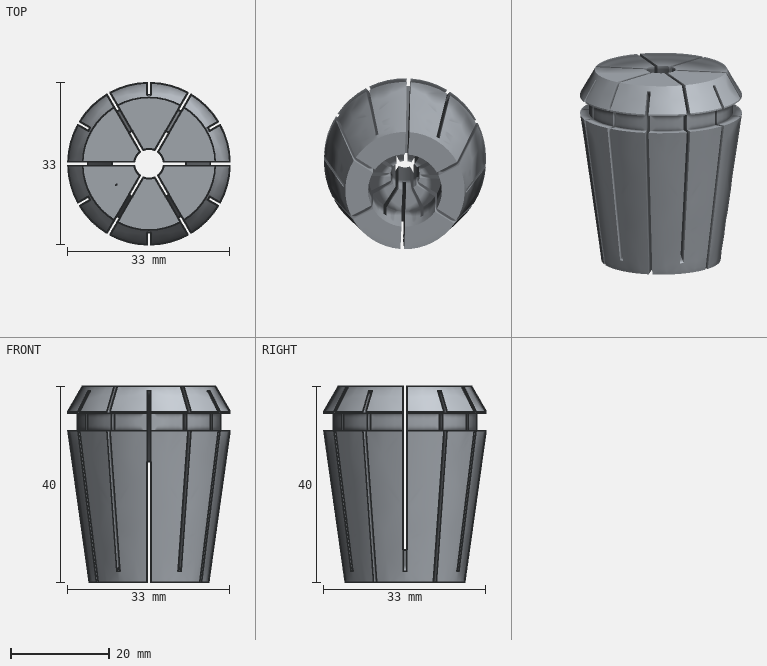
import cadquery as cq
import math

length = 40.0
major_radius = 16.5
body_half_angle = 8.0
nose_half_angle = 30.0

groove_bottom = 30.9
groove_top = 34.5
groove_radius = 14.65
rim_height = 0.3

bore_radius = 3.0
relief_radius = 7.5
relief_depth = 16.0

slots_per_end = 6
slot_width = 0.75
nose_slot_end = 2.3
nose_slot_inner = 6.65
tail_slot_end = 39.0
tail_slot_inner = 24.6
cutter_radius = 31.6

margin = 1.0
wall_overrun = 0.5

rim_top = groove_top + rim_height
tail_radius = major_radius - groove_bottom * math.tan(math.radians(body_half_angle))
nose_radius = major_radius - (length - rim_top) * math.tan(math.radians(nose_half_angle))
slot_pitch = 360.0 / slots_per_end
reach = major_radius + margin


def body_radius_at(height):
    """Outer radius of the tapered body cone at a height."""
    return tail_radius + height * math.tan(math.radians(body_half_angle))


def nose_radius_at(height):
    """Outer radius of the nose cone at a height."""
    return major_radius - (height - rim_top) * math.tan(math.radians(nose_half_angle))


def make_body():
    """Revolve the tapered outline with its groove and stepped bore."""
    outline = [
        (relief_radius, 0),
        (tail_radius, 0),
        (major_radius, groove_bottom),
        (groove_radius, groove_bottom),
        (groove_radius, groove_top),
        (major_radius, groove_top),
        (major_radius, rim_top),
        (nose_radius, length),
        (bore_radius, length),
        (bore_radius, relief_depth),
        (relief_radius, relief_depth),
    ]
    return cq.Workplane("XZ").polyline(outline).close().revolve(360, (0, 0), (0, 1))


def arc_centre(start, end):
    """Centre of the cutter passing through start (outer) and end (inner), on its outer side."""
    chord_r = end[0] - start[0]
    chord_z = end[1] - start[1]
    chord = math.hypot(chord_r, chord_z)
    offset = math.sqrt(cutter_radius ** 2 - (chord / 2) ** 2)
    side = math.copysign(offset, chord_z) / chord
    return (
        (start[0] + end[0]) / 2 + chord_z * side,
        (start[1] + end[1]) / 2 - chord_r * side,
    )


def make_slot(open_height, start, end):
    """Radial slot along +X, open at one end face and closed by a cutter arc through start and end."""
    centre = arc_centre(start, end)
    rise = math.copysign(1, end[1] - start[1])

    def arc_point(radius):
        depth = math.sqrt(cutter_radius ** 2 - (radius - centre[0]) ** 2)
        return (radius, centre[1] - rise * depth)

    inner_radius = end[0] - wall_overrun
    profile = (
        cq.Workplane("XZ")
        .moveTo(0, open_height)
        .lineTo(reach, open_height)
        .lineTo(reach, start[1])
        .lineTo(*start)
        .threePointArc(arc_point((start[0] + inner_radius) / 2), arc_point(inner_radius))
        .lineTo(0, arc_point(inner_radius)[1])
        .close()
    )
    return profile.extrude(slot_width / 2, both=True)


def cut_slots(body, slot, first_angle):
    """Cut one end's ring of equally spaced slots, the first at first_angle from +X."""
    for index in range(slots_per_end):
        angle = first_angle + index * slot_pitch
        body = body.cut(slot.rotate((0, 0, 0), (0, 0, 1), angle))
    return body


nose_slot = make_slot(
    length + margin,
    (body_radius_at(nose_slot_end), nose_slot_end),
    (relief_radius, nose_slot_inner),
)
tail_slot = make_slot(
    -margin,
    (nose_radius_at(tail_slot_end), tail_slot_end),
    (bore_radius, tail_slot_inner),
)

result = make_body()
result = cut_slots(result, nose_slot, 0)
result = cut_slots(result, tail_slot, slot_pitch / 2)